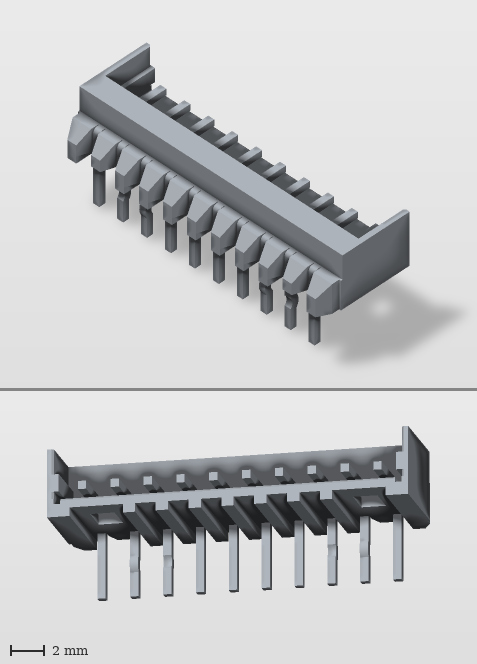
import cadquery as cq


PIN_COUNT = 10
LENGTH = 22.0
TOTAL_HEIGHT = 7.7
PITCH = LENGTH / (PIN_COUNT + 1)

BODY_HEIGHT = 4.2
WALL_DEPTH = 5.65
BODY_DEPTH = 5.79
LEDGE_HEIGHT = 2.3
UNDERSIDE = 0.53

CAVITY_DEPTH = 3.9
FLOOR_HEIGHT = 1.12
END_WALL = 0.42
MOUTH_CHAMFER = 0.13
RAIL_INSET = 0.73
RAIL_BOTTOM = 1.56
RAIL_TOP = 2.65
GROOVE_INSET = 0.81
GROOVE_BOTTOM = 0.8
WINDOW_START = 1.63

TOTAL_DEPTH = 7.3
TOOTH_COUNT = PIN_COUNT + 1
SHOULDER_DEPTH = 6.38
TOOTH_WIDTH = 1.39
NOSE_WIDTH = 0.75
NOSE_HEIGHT = 1.4
END_SETBACK = 0.15
FOOTLESS_TEETH = (1, TOOTH_COUNT - 2)

PIN_SIZE = 0.5
PIN_TIP = 0.6
PIN_FRONT = 6.25
LEG_BOTTOM = BODY_HEIGHT - TOTAL_HEIGHT
BEND_RADIUS = 0.33
KINK_HEIGHT = -1.47
KINK_OUTER_CHORD = 1.05
KINK_INNER_CHORD = 0.8
KINK_OFFSET = 0.15
FORWARD_KINKS = (2, PIN_COUNT - 3)
BACKWARD_KINKS = (1, PIN_COUNT - 2)


def block(x_min, x_max, depth_min, depth_max, z_min, z_max):
    """Box given by its X limits, its depths behind the mouth and its heights."""
    size = (x_max - x_min, depth_max - depth_min, z_max - z_min)
    return cq.Workplane("XY").box(*size, centered=False).translate((x_min, -depth_max, z_min))


def pin_x(index):
    return (index - (PIN_COUNT - 1) / 2) * PITCH


def tooth_x(index):
    return (index - (TOOTH_COUNT - 1) / 2) * PITCH


def make_shell():
    """Trough with a tall front wall, two end walls and a flared mouth."""
    half = LENGTH / 2
    shell = block(-half, half, 0, WALL_DEPTH, UNDERSIDE, BODY_HEIGHT)
    shell = shell.union(block(-half, half, 0, BODY_DEPTH, UNDERSIDE, LEDGE_HEIGHT))

    inner = half - END_WALL
    flared = inner + MOUTH_CHAMFER
    cavity_outline = [
        (-inner, -CAVITY_DEPTH),
        (inner, -CAVITY_DEPTH),
        (inner, -MOUTH_CHAMFER),
        (flared, 0),
        (-flared, 0),
        (-inner, -MOUTH_CHAMFER),
    ]
    cavity_height = BODY_HEIGHT - FLOOR_HEIGHT
    cavity = cq.Workplane("XY").workplane(offset=FLOOR_HEIGHT).polyline(cavity_outline).close()
    shell = shell.cut(cavity.extrude(cavity_height))

    groove_side = half - GROOVE_INSET
    floor_chamfer = (
        cq.Workplane("YZ")
        .polyline([(-MOUTH_CHAMFER, FLOOR_HEIGHT), (0, FLOOR_HEIGHT), (0, FLOOR_HEIGHT - MOUTH_CHAMFER)])
        .close()
        .extrude(groove_side, both=True)
    )
    return shell.cut(floor_chamfer)


def make_foot(index):
    """Rib under the floor, as wide as the tooth nose; the outermost feet reach the ends."""
    x_min = tooth_x(index) - NOSE_WIDTH / 2
    x_max = tooth_x(index) + NOSE_WIDTH / 2
    if index == 0:
        x_min = -LENGTH / 2
    if index == TOOTH_COUNT - 1:
        x_max = LENGTH / 2
    return block(x_min, x_max, 0, BODY_DEPTH, 0, UNDERSIDE)


def make_tooth(index):
    """Tooth that narrows to a nose in plan and slopes down from the ledge to it."""
    centre = tooth_x(index)
    row_end = LENGTH / 2 - END_SETBACK
    root_min = centre - TOOTH_WIDTH / 2
    root_max = centre + TOOTH_WIDTH / 2
    if index == 0:
        root_min = -row_end
    if index == TOOTH_COUNT - 1:
        root_max = row_end
    nose_min = centre - NOSE_WIDTH / 2
    nose_max = centre + NOSE_WIDTH / 2
    plan = [
        (root_min, -WALL_DEPTH),
        (root_min, -SHOULDER_DEPTH),
        (nose_min, -TOTAL_DEPTH),
        (nose_max, -TOTAL_DEPTH),
        (root_max, -SHOULDER_DEPTH),
        (root_max, -WALL_DEPTH),
    ]
    side = [
        (-WALL_DEPTH, 0),
        (-TOTAL_DEPTH, 0),
        (-TOTAL_DEPTH, NOSE_HEIGHT),
        (-SHOULDER_DEPTH, LEDGE_HEIGHT),
        (-WALL_DEPTH, LEDGE_HEIGHT),
    ]
    tooth = cq.Workplane("XY").polyline(plan).close().extrude(LEDGE_HEIGHT)
    tooth = tooth.intersect(cq.Workplane("YZ").polyline(side).close().extrude(LENGTH / 2, both=True))

    keep_min = root_min if index == 0 else nose_min
    keep_max = root_max if index == TOOTH_COUNT - 1 else nose_max
    if index in FOOTLESS_TEETH:
        keep_max = keep_min
    if keep_min > root_min:
        tooth = tooth.cut(block(root_min, keep_min, WALL_DEPTH, TOTAL_DEPTH, 0, UNDERSIDE))
    if keep_max < root_max:
        tooth = tooth.cut(block(keep_max, root_max, WALL_DEPTH, TOTAL_DEPTH, 0, UNDERSIDE))
    return tooth


def make_pin(index):
    """Square L-shaped pin; some legs carry a curved kink forwards or backwards."""
    front = -PIN_FRONT
    back = front + PIN_SIZE
    top = LEDGE_HEIGHT
    front_half_chord = back_half_chord = kink = 0
    if index in FORWARD_KINKS:
        kink = -KINK_OFFSET
        front_half_chord = KINK_OUTER_CHORD / 2
        back_half_chord = KINK_INNER_CHORD / 2
    if index in BACKWARD_KINKS:
        kink = KINK_OFFSET
        front_half_chord = KINK_INNER_CHORD / 2
        back_half_chord = KINK_OUTER_CHORD / 2

    profile = cq.Workplane("YZ").moveTo(-PIN_TIP, top).lineTo(front + BEND_RADIUS, top)
    profile = profile.radiusArc((front, top - BEND_RADIUS), -BEND_RADIUS)
    if kink:
        profile = profile.lineTo(front, KINK_HEIGHT + front_half_chord)
        profile = profile.threePointArc((front + kink, KINK_HEIGHT), (front, KINK_HEIGHT - front_half_chord))
    profile = profile.lineTo(front, LEG_BOTTOM).lineTo(back, LEG_BOTTOM)
    if kink:
        profile = profile.lineTo(back, KINK_HEIGHT - back_half_chord)
        profile = profile.threePointArc((back + kink, KINK_HEIGHT), (back, KINK_HEIGHT + back_half_chord))
    profile = profile.lineTo(back, top - PIN_SIZE).lineTo(-PIN_TIP, top - PIN_SIZE).close()
    return profile.extrude(PIN_SIZE / 2, both=True).translate((pin_x(index), 0, 0))


def make_groove(side):
    """Groove in the floor along the end wall on the given side (-1 or 1)."""
    x_limits = sorted((side * (LENGTH / 2 - END_WALL), side * (LENGTH / 2 - GROOVE_INSET)))
    return block(*x_limits, 0, CAVITY_DEPTH, GROOVE_BOTTOM, FLOOR_HEIGHT)


def make_rail(side):
    """Rail on the inside of the end wall on the given side (-1 or 1)."""
    x_limits = sorted((side * (LENGTH / 2 - END_WALL / 2), side * (LENGTH / 2 - RAIL_INSET)))
    return block(*x_limits, 0, CAVITY_DEPTH, RAIL_BOTTOM, RAIL_TOP)


def make_window(index):
    """Opening through the floor, as wide as the gap between two pins."""
    half_width = (PITCH - PIN_SIZE) / 2
    centre = tooth_x(index)
    return block(centre - half_width, centre + half_width, WINDOW_START, CAVITY_DEPTH, 0, FLOOR_HEIGHT)


result = make_shell()
for tooth_index in range(TOOTH_COUNT):
    result = result.union(make_tooth(tooth_index))
    if tooth_index not in FOOTLESS_TEETH:
        result = result.union(make_foot(tooth_index))
for end in (-1, 1):
    result = result.cut(make_groove(end))
    result = result.union(make_rail(end))
for tooth_index in FOOTLESS_TEETH:
    result = result.cut(make_window(tooth_index))
for pin_index in range(PIN_COUNT):
    result = result.union(make_pin(pin_index))